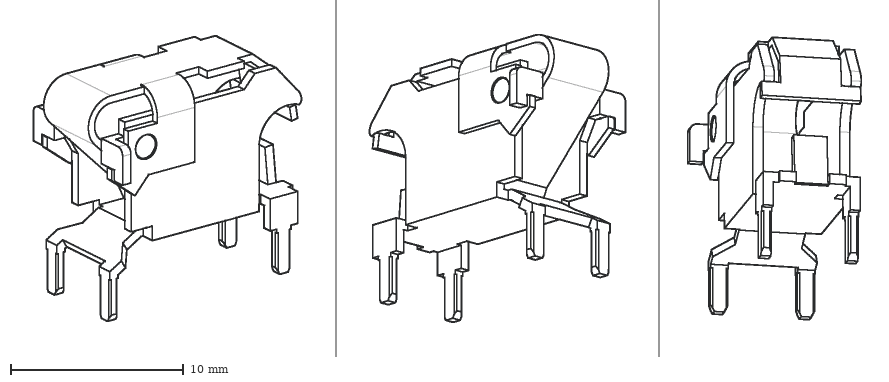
import cadquery as cq
import math


housing_sheet = 0.6
spring_sheet = 0.45
length = 14.95
height = 13.7
flange_half_width = 4.35

wall_outer = 2.89
wall_inner = wall_outer - housing_sheet
floor_top = 4.87
floor_bottom = floor_top - housing_sheet
floor_front = 4.11
wall_rear = 11.83
wall_front = 2.57
wall_front_bottom = 5.19
wall_shoulder_z = 12.15
wall_shoulder_front = 2.11
wall_shoulder_back = 10.75
crest_z = 12.98
crest_front = 11.53
crest_back = 13.05
clearance_radius = 2.1
clearance_top = 10.44

nose_underside_y = 14.73
nose_corner = (14.86, 10.42)
nose_tip = (14.9, 10.58)
nose_brow = (14.79, 10.97)
nose_slope_start = (14.55, 11.27)

flange_front = 0.87
flange_back = flange_front + housing_sheet
flange_top = 11.24
flange_bottom = 9.66
hook_inner = 3.53
hook_bottom = 8.97
flange_corner_radius = 0.45
brace_angle = 60
brace_bottom = 8.43

boss_y = 3.3
boss_z = 10.48
boss_radius = 0.72
boss_height = 0.4
hole_radius = 0.76

leg_width = 1.05
leg_tip_width = 0.6
leg_tip_height = 0.43
leg_chamfer = 0.12
leg_length = 2.63

apron_bend_y = 3.81
apron_angle = 30
apron_half_width = 1.97
apron_outer = 3.11
apron_notch_half = apron_outer - leg_width
flare_start = 1.35
flare_end = 2.44
apron_lip = 0.5

tab_inner = 0.99
tab_depth = 0.33
rear_leg_back = length - tab_depth
rear_leg_front = 12.62
rear_leg_shoulder = 2.87
tab_notch_front = 14.43
tongue_foot_y = 14.52
tongue_foot_z = floor_bottom + 0.07
tongue_top_y = 14.25
tongue_top_z = 7.3

strip_half = 2.18
neck_half = 1.57
ear_half = 2.4
tail_half = 1.81
front_bend_radius = 1.65
top_bend_y = 12.17
rear_bend_y = 14.16
rear_bend_z = 12.05
tail_end_y = 14.58
tail_end_z = 9.48
wing_half = 2.95
wing_length = 0.9
knee_z = 6.11
foot_angle = 65
ear_front = 8.45
ear_back = 11.1
slit = 0.06

lug_outer = 3.36
lug_inner = lug_outer - spring_sheet
lug_bend_radius = lug_outer - tail_half
lug_bend_z = height - lug_bend_radius
lug_back = 6.82
lug_bend_front = 4.11
lug_shoulder_z = 11.77
lug_shoulder_front = 2.0
lug_front = 0.8
lug_bottom = 8.7
lug_point_y = 2.5
lug_point_z = 7.62
lug_point_back = 3.48
lug_front_bottom = 8.95


def offset_points(points, distance):
    """The path moved to its left by the distance, with mitred corners and square ends."""
    normals = []
    for (y0, z0), (y1, z1) in zip(points, points[1:]):
        run = math.hypot(y1 - y0, z1 - z0)
        normals.append(((z0 - z1) / run, (y1 - y0) / run))
    before = normals[:1] + normals
    after = normals + normals[-1:]
    moved = []
    for (y, z), (ay, az), (by, bz) in zip(points, before, after):
        mitre = distance / (1 + ay * by + az * bz)
        moved.append((y + (ay + by) * mitre, z + (az + bz) * mitre))
    return moved


def box(x_range, y_range, z_range):
    sizes = [b - a for a, b in (x_range, y_range, z_range)]
    return cq.Workplane("XY").box(*sizes, centered=False).translate((x_range[0], y_range[0], z_range[0]))


def centred_box(half_width, y_range, z_range):
    return box((-half_width, half_width), y_range, z_range)


def side_plate(outline, x_start, thickness):
    """A closed outline in Y and Z, made into a plate that runs from x_start toward +X."""
    return outline.close().extrude(thickness).translate((x_start, 0, 0))


def bent_sheet(points, thickness, half_width):
    """A sheet whose one face follows the path, with its thickness to the left of the path."""
    loop = points + offset_points(points, thickness)[::-1]
    return cq.Workplane("YZ").polyline(loop).close().extrude(half_width, both=True)


def both_sides(solid):
    return solid.union(solid.mirror("YZ"))


def wall():
    """The +X side wall, with the cut-out at its rear and the nose above it."""
    clearance_y = wall_rear + clearance_radius
    clearance_z = clearance_top - clearance_radius

    def on_clearance(y):
        return (y, clearance_z + math.sqrt(clearance_radius**2 - (y - clearance_y) ** 2))

    clearance_middle = on_clearance(clearance_y - clearance_radius * math.sqrt(0.5))
    brace_y = wall_front - (flange_bottom - brace_bottom) / math.tan(math.radians(brace_angle))
    outline = (
        cq.Workplane("YZ")
        .moveTo(floor_front, floor_bottom)
        .lineTo(wall_rear, floor_bottom)
        .lineTo(wall_rear, clearance_z)
        .threePointArc(clearance_middle, on_clearance(nose_underside_y))
        .threePointArc(nose_corner, nose_tip)
        .threePointArc(nose_brow, nose_slope_start)
        .lineTo(crest_back, crest_z)
        .lineTo(crest_front, crest_z)
        .lineTo(wall_shoulder_back, wall_shoulder_z)
        .lineTo(wall_shoulder_front, wall_shoulder_z)
        .lineTo(wall_shoulder_front, flange_top)
        .lineTo(flange_front, flange_top)
        .lineTo(flange_front, flange_bottom)
        .lineTo(brace_y, flange_bottom)
        .lineTo(wall_front, brace_bottom)
        .lineTo(wall_front, wall_front_bottom)
        .lineTo(floor_front, wall_front_bottom)
    )
    return side_plate(outline, wall_inner, housing_sheet)


def flange():
    """The outward flange at the front of the +X wall, with a hook at its outer end."""
    return (
        cq.Workplane("XZ", origin=(0, flange_back, 0))
        .moveTo(wall_inner, flange_bottom)
        .lineTo(hook_inner, flange_bottom)
        .lineTo(hook_inner, hook_bottom)
        .lineTo(flange_half_width, hook_bottom)
        .lineTo(flange_half_width, flange_top - flange_corner_radius)
        .radiusArc((flange_half_width - flange_corner_radius, flange_top), -flange_corner_radius)
        .lineTo(wall_inner, flange_top)
        .close()
        .extrude(housing_sheet)
    )


def boss():
    plane = cq.Workplane("YZ", origin=(wall_outer, boss_y, boss_z))
    return plane.circle(boss_radius).extrude(boss_height)


def leg():
    """A leg centred on the Z axis, wide along X, with a tapered tip and chamfered edges."""
    half, tip_half = leg_width / 2, leg_tip_width / 2
    outline = [
        (-tip_half, 0),
        (tip_half, 0),
        (half, leg_tip_height),
        (half, leg_length),
        (-half, leg_length),
        (-half, leg_tip_height),
    ]
    blank = cq.Workplane("XZ").polyline(outline).close().extrude(housing_sheet / 2, both=True)
    return blank.edges("|Z").chamfer(leg_chamfer)


def apron():
    """The front of the floor, bent down to the front legs, with flared sides and a notch between the legs."""
    slope = math.radians(apron_angle)
    run = apron_bend_y - flange_front
    slope_length = run / math.cos(slope)
    path = [
        (floor_front, floor_top),
        (apron_bend_y, floor_top),
        (flange_front, floor_top - run * math.tan(slope)),
        (flange_front, leg_length),
    ]
    sheet = bent_sheet(path, housing_sheet, apron_outer)
    slope_plane = cq.Workplane(
        cq.Plane(
            origin=(0, apron_bend_y, floor_top),
            xDir=(1, 0, 0),
            normal=(0, -math.sin(slope), math.cos(slope)),
        )
    )
    beyond = 2 * slope_length
    side_points = [
        (apron_half_width, slope_length),
        (apron_half_width, -flare_start),
        (apron_outer, -flare_end),
        (beyond, -flare_end),
        (beyond, slope_length),
    ]
    side_cut = slope_plane.polyline(side_points).close().extrude(slope_length, both=True)
    notch_top = apron_lip - slope_length
    notch_points = [
        (-apron_notch_half, notch_top),
        (apron_notch_half, notch_top),
        (apron_notch_half, -beyond),
        (-apron_notch_half, -beyond),
    ]
    notch = slope_plane.polyline(notch_points).close().extrude(slope_length, both=True)
    return sheet.cut(both_sides(side_cut)).cut(notch)


def floor():
    thickness = (floor_bottom, floor_top)
    plate = centred_box(wall_outer, (floor_front, wall_rear), thickness)
    plate = plate.union(centred_box(apron_half_width, (floor_front, length), thickness))
    plate = plate.union(centred_box(wall_outer, (rear_leg_front, rear_leg_back), thickness))
    return plate.cut(centred_box(tab_inner, (tab_notch_front, length), thickness))


def tongue():
    """The upright tongue at the rear, leaning slightly forward."""
    path = [(tongue_foot_y, tongue_foot_z), (tongue_top_y, tongue_top_z)]
    return bent_sheet(path, housing_sheet, tab_inner)


def rear_leg():
    """The +X rear leg: a wide block bent down from the floor, with the leg below it."""
    middle_x = (wall_inner + wall_outer) / 2
    middle_y = (rear_leg_front + rear_leg_back) / 2
    across = (wall_inner, wall_outer)
    block = box(across, (rear_leg_front, rear_leg_back), (rear_leg_shoulder, floor_top))
    shank_range = (middle_y - leg_width / 2, middle_y + leg_width / 2)
    shank = box(across, shank_range, (leg_length, rear_leg_shoulder))
    turned_leg = leg().rotate((0, 0, 0), (0, 0, 1), 90).translate((middle_x, middle_y, 0))
    return block.union(shank).union(turned_leg)


def front_leg():
    return leg().translate((apron_outer - leg_width / 2, flange_front + housing_sheet / 2, 0))


def make_housing():
    body = floor().union(apron()).union(tongue())
    for feature in (wall(), flange(), boss(), rear_leg(), front_leg()):
        body = body.union(both_sides(feature))
    return body


def spring_strip():
    """The folded strip: tail, top, front bend and the lower run back down to the floor."""
    bend_y = front_bend_radius
    bend_z = height - front_bend_radius
    inner_radius = front_bend_radius - spring_sheet
    diagonal = math.sqrt(0.5)
    bend_end_y = bend_y - front_bend_radius * diagonal
    bend_end_z = bend_z - front_bend_radius * diagonal
    upper = [
        (tail_end_y, tail_end_z),
        (rear_bend_y, rear_bend_z),
        (top_bend_y, height),
        (bend_y, height),
    ]
    knee_y = bend_end_y + bend_end_z - knee_z
    foot_y = knee_y + (knee_z - floor_bottom) / math.tan(math.radians(foot_angle))
    lower = [(bend_end_y, bend_end_z), (knee_y, knee_z), (foot_y, floor_bottom)]
    inner_upper = offset_points(upper, spring_sheet)[::-1]
    inner_lower = offset_points(lower, spring_sheet)[::-1]
    strip = (
        cq.Workplane("YZ")
        .polyline(upper)
        .threePointArc((bend_y - front_bend_radius, bend_z), lower[0])
        .lineTo(*lower[1])
        .lineTo(*lower[2])
        .lineTo(*inner_lower[0])
        .lineTo(*inner_lower[1])
        .lineTo(*inner_lower[2])
        .threePointArc((bend_y - inner_radius, bend_z), inner_upper[0])
        .lineTo(*inner_upper[1])
        .lineTo(*inner_upper[2])
        .lineTo(*inner_upper[3])
        .close()
        .extrude(strip_half, both=True)
    )
    return strip.cut(centred_box(strip_half, (0, length), (0, floor_top)))


def side_relief(half_width, y_start, y_end, z_bottom):
    """What to remove so that the strip is only 2 * half_width wide along this stretch."""
    return both_sides(box((half_width, wing_half), (y_start, y_end), (z_bottom, height)))


def ears():
    return centred_box(ear_half, (ear_front, ear_back), (height - spring_sheet, height))


def wings():
    """The wide end of the tail, which hooks under the noses of the walls."""
    rise_y = rear_bend_y - tail_end_y
    rise_z = rear_bend_z - tail_end_z
    share = wing_length / math.hypot(rise_y, rise_z)
    start = (tail_end_y + rise_y * share, tail_end_z + rise_z * share)
    return bent_sheet([(tail_end_y, tail_end_z), start], spring_sheet, wing_half)


def lug():
    """The +X lug: a quarter bend from the top strip and a plate beside the wall, with a hole for the boss."""
    bend_length = lug_back - lug_bend_front
    bend = (
        cq.Workplane("XZ", origin=(tail_half, lug_back, lug_bend_z))
        .circle(lug_bend_radius)
        .circle(lug_bend_radius - spring_sheet)
        .extrude(bend_length)
    )
    quarter = box((tail_half, lug_outer), (lug_bend_front, lug_back), (lug_bend_z, height))
    outline = cq.Workplane("YZ").polyline(
        [
            (lug_back, lug_bend_z),
            (lug_back, lug_bottom),
            (lug_point_back, lug_bottom),
            (lug_point_y, lug_point_z),
            (lug_front, lug_front_bottom),
            (lug_front, flange_bottom),
            (lug_shoulder_front, flange_bottom),
            (lug_shoulder_front, lug_shoulder_z),
            (lug_bend_front, lug_shoulder_z),
            (lug_bend_front, lug_bend_z),
        ]
    )
    plate = side_plate(outline, lug_inner, spring_sheet)
    hole = cq.Workplane("YZ", origin=(lug_inner, boss_y, boss_z)).circle(hole_radius).extrude(spring_sheet)
    return bend.intersect(quarter).union(plate).cut(hole)


def make_spring():
    body = spring_strip()
    body = body.cut(side_relief(tail_half, ear_back, length, tail_end_z))
    body = body.cut(side_relief(neck_half, lug_back, ear_front, height - spring_sheet))
    body = body.cut(side_relief(tail_half, lug_bend_front - slit, lug_back, height - spring_sheet))
    return body.union(ears()).union(wings()).union(both_sides(lug()))


housing = make_housing()
spring = make_spring()

result = cq.Compound.makeCompound([housing.solids().val(), spring.solids().val()])